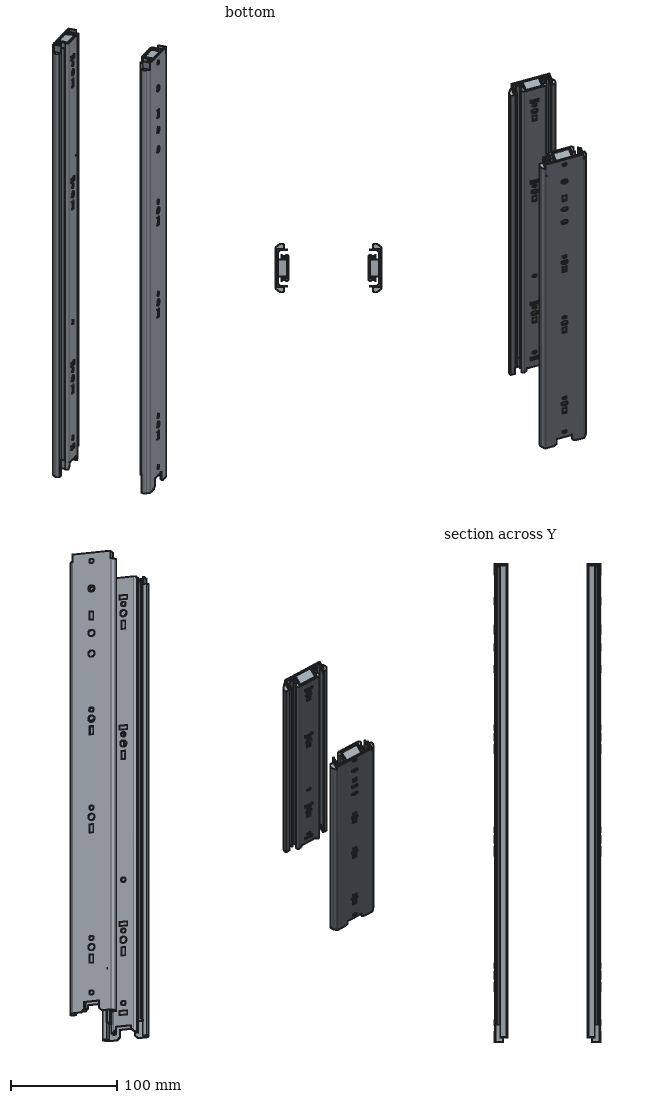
import cadquery as cq


length = 450.0
pair_width = 100.0
slide_depth = 12.5
slide_height = 46.0
sheet = 1.5

web_half = 19.0
flange_top = 443.0
flange_depth = 8.0
flange_inside_half = 18.0
bend_depth = 0.5
bend_half = 20.0
bend_radius = 2.2
flank_depth = 3.0
flank_half = 22.0
peak_depth = (flank_depth + flange_depth) / 2
peak_half = slide_height / 2
tab_half = 8.0
tab_depth = 11.0
tab_drop = 0.5

clearance = 0.5
middle_back = sheet
middle_web_front = middle_back + sheet
middle_bottom = 16.0
middle_top = 447.5
middle_half = flange_inside_half - clearance
middle_flange_wall = 1.0
middle_inside_half = middle_half - middle_flange_wall
middle_depth = 11.2
middle_corner = 2.0

inner_bottom = 4.0
inner_back = 5.5
inner_web_back = slide_depth - sheet
inner_half = 12.5
inner_wall_half = 9.5
inner_corner = 2.48
groove_start = 6.0
groove_end = slide_depth - inner_corner
groove_middle = (groove_start + groove_end) / 2
groove_sink = 1.5

hole_diameter = 4.4
large_hole_diameter = 6.5
inner_hole_diameter = 4.5
slot_width = 4.0
slot_length = 8.0
large_hole_drop = 9.0
slot_drop = 20.2
cross_slot_rise = 6.8
outer_groups = [296.0, 200.0, 72.0]
outer_holes = [442.0, 18.5]
outer_large_holes = [415.0, 371.2, 351.0]
outer_slot = 388.5
inner_groups = [424.0, 296.0, 103.5]
inner_holes = [153.5, 32.5]
inner_cross_slot = 23.0
window_bottom = 285.8
window_top = 299.5

notch_half = 7.5
notch_top = 10.0
notch_flare = 2.5


def both_sides(half):
    """Joins the +Y half of a rail to its mirror image."""
    return half.union(half.mirror("XZ"))


def round_cut(diameter, z):
    """Round cutter through the whole depth of the slide."""
    return cq.Workplane("YZ").center(0, z).circle(diameter / 2).extrude(slide_depth)


def slot_cut(width, height, z):
    """Rectangular cutter through the whole depth of the slide."""
    return cq.Workplane("YZ").center(0, z).rect(width, height).extrude(slide_depth)


def notch_cut(bottom):
    """Cutter for the end notch of a rail whose lower end is at `bottom`."""
    return (
        cq.Workplane("YZ")
        .moveTo(-notch_half, notch_top)
        .lineTo(notch_half, notch_top)
        .lineTo(notch_half, bottom + notch_flare)
        .lineTo(notch_half + notch_flare, bottom)
        .lineTo(-notch_half - notch_flare, bottom)
        .lineTo(-notch_half, bottom + notch_flare)
        .close()
        .extrude(slide_depth)
    )


def cut_all(body, cutters):
    for cutter in cutters:
        body = body.cut(cutter)
    return body


def hole_group(small_diameter, z):
    """Round hole with a larger hole and an upright slot below it."""
    return [
        round_cut(small_diameter, z),
        round_cut(large_hole_diameter, z - large_hole_drop),
        slot_cut(slot_width, slot_length, z - slot_drop),
    ]


def make_outer_rail():
    channel_half = (
        cq.Workplane("XY")
        .polyline([
            (0, 0),
            (0, web_half),
            (flange_depth, web_half),
            (flange_depth, flange_inside_half),
            (sheet, flange_inside_half),
            (sheet, 0),
        ])
        .close()
        .extrude(length)
    )
    flange = (
        cq.Workplane("XY")
        .moveTo(0, web_half)
        .radiusArc((bend_depth, bend_half), bend_radius)
        .lineTo(flank_depth, flank_half)
        .threePointArc((peak_depth, peak_half), (flange_depth, flank_half))
        .lineTo(flange_depth, web_half)
        .close()
        .extrude(flange_top)
    )
    tab = cq.Workplane("XY").box(tab_depth, 2 * tab_half, sheet, centered=(False, True, False))
    tab = tab.translate((0, 0, length - tab_drop - sheet))
    cutters = [notch_cut(0), slot_cut(slot_width, slot_length, outer_slot)]
    cutters += [round_cut(hole_diameter, z) for z in outer_holes]
    cutters += [round_cut(large_hole_diameter, z) for z in outer_large_holes]
    for z in outer_groups:
        cutters += hole_group(hole_diameter, z)
    return cut_all(both_sides(channel_half.union(flange)).union(tab), cutters)


def make_middle_rail():
    channel_half = (
        cq.Workplane("XY", origin=(0, 0, middle_bottom))
        .polyline([
            (middle_back, 0),
            (middle_back, middle_half),
            (middle_depth, middle_half),
            (middle_depth, middle_inside_half),
            (middle_web_front + middle_corner, middle_inside_half),
            (middle_web_front, middle_inside_half - middle_corner),
            (middle_web_front, 0),
        ])
        .close()
        .extrude(middle_top - middle_bottom)
    )
    window = slot_cut(large_hole_diameter, window_top - window_bottom, (window_top + window_bottom) / 2)
    slot = slot_cut(slot_width, slot_length, outer_groups[0] - slot_drop)
    hole = round_cut(hole_diameter, outer_large_holes[0])
    return cut_all(both_sides(channel_half), [window, slot, hole])


def make_inner_rail():
    channel_half = (
        cq.Workplane("XY", origin=(0, 0, inner_bottom))
        .moveTo(slide_depth, 0)
        .lineTo(slide_depth, inner_half - inner_corner)
        .radiusArc((groove_end, inner_half), -inner_corner)
        .threePointArc((groove_middle, inner_half - groove_sink), (groove_start, inner_half))
        .lineTo(inner_back, inner_half)
        .lineTo(inner_back, inner_wall_half)
        .lineTo(inner_web_back, inner_wall_half)
        .lineTo(inner_web_back, 0)
        .close()
        .extrude(length - inner_bottom)
    )
    cutters = [notch_cut(inner_bottom), slot_cut(slot_length, slot_width, inner_cross_slot)]
    cutters += [round_cut(inner_hole_diameter, z) for z in inner_holes]
    for z in inner_groups:
        cutters += hole_group(inner_hole_diameter, z)
        cutters.append(slot_cut(slot_length, slot_width, z + cross_slot_rise))
    return cut_all(both_sides(channel_half), cutters)


bodies = []
for make_rail in (make_outer_rail, make_middle_rail, make_inner_rail):
    left_rail = make_rail().translate((-pair_width / 2, 0, 0))
    right_rail = left_rail.mirror("YZ")
    bodies += [left_rail.val(), right_rail.val()]

result = cq.Compound.makeCompound(bodies)